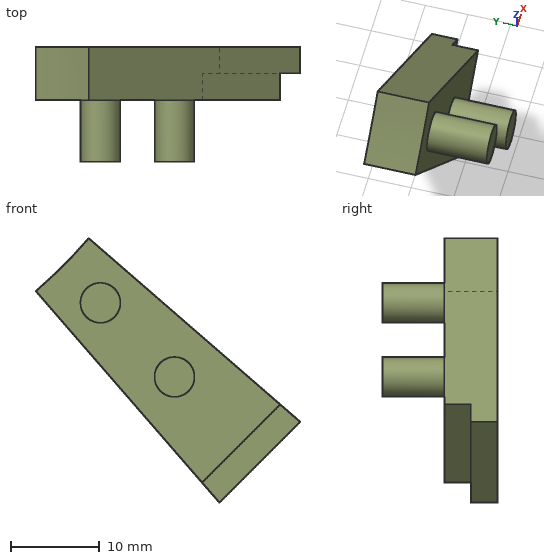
import cadquery as cq
import math

length = 31.57
narrow_width = 8.45
wide_width = 12.92
thickness = 6.0
narrow_end_radius = 59.98
ledge_length = 3.0
ledge_thickness = thickness / 2
pin_diameter = 4.5
pin_length = 7.0
pin_positions = (6.1, 17.95)
centreline_tilt = 45


def wedge_plate():
    """Tapered plate on the XZ plane, centreline along +X, back face at Y = 0."""
    half_narrow = narrow_width / 2
    half_wide = wide_width / 2
    sagitta = narrow_end_radius - math.sqrt(narrow_end_radius**2 - half_narrow**2)
    return (
        cq.Workplane("XZ")
        .moveTo(0, -half_narrow)
        .lineTo(length, -half_wide)
        .lineTo(length, half_wide)
        .lineTo(0, half_narrow)
        .threePointArc((sagitta, 0), (0, -half_narrow))
        .close()
        .extrude(thickness)
    )


def ledge_cut():
    """Block removing the front of the plate across the wide end."""
    return cq.Workplane("XY").box(
        ledge_length, thickness - ledge_thickness, wide_width, centered=(False, False, True)
    ).translate((length - ledge_length, -thickness, 0))


def pins():
    """Round pins standing on the front face."""
    return (
        cq.Workplane("XZ", origin=(0, -thickness, 0))
        .pushPoints([(position, 0) for position in pin_positions])
        .circle(pin_diameter / 2)
        .extrude(pin_length)
    )


part = wedge_plate()
part = part.cut(ledge_cut())
part = part.union(pins())

result = part.rotate((0, 0, 0), (0, 1, 0), centreline_tilt)